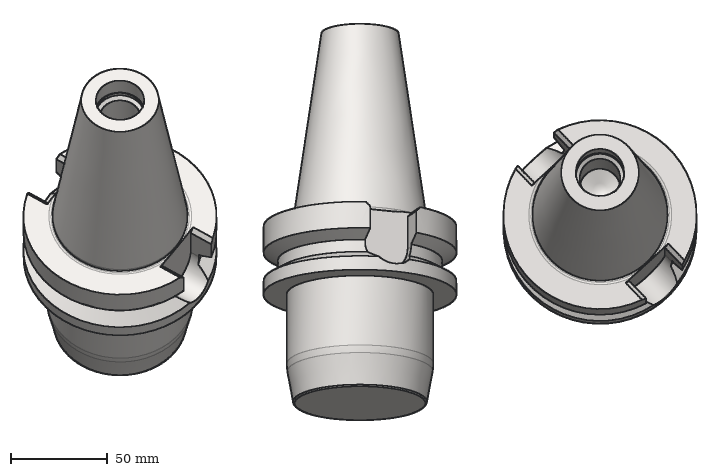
import cadquery as cq
import math

total_height = 197.8
gauge_plane = 96.0

taper_large_diameter = 69.8
taper_ratio = 7 / 24
taper_length = total_height - gauge_plane
taper_small_diameter = taper_large_diameter - taper_ratio * taper_length

flange_diameter = 99.9
flange_bottom = 58.2
flange_top = 94.5
groove_diameter = 85
groove_lower_edge = 65.5
groove_upper_edge = 80.5
groove_side_angle = 30
groove_side_rise = (flange_diameter - groove_diameter) / 2 * math.tan(math.radians(groove_side_angle))

relief_outer_diameter = 73.8
relief_floor_diameter = 71.5
relief_depth = 0.2

body_diameter = 76.0
nose_diameter = 69.2
nose_chamfer = 0.8
nose_blend_top = 21.2
nose_blend_radius = 20.8
nose_angle = math.radians(11)

slot_width = 25.5
slot_bottom = 62.3
slot_floor_x = 35.5
slot_mouth_chamfer = 2.4

counterbore_diameter = 25.0
counterbore_depth = 13.6
undercut_diameter = 25.5
undercut_start_depth = 11.0
seat_slope = math.radians(30)
bore_diameter = 21.0
bore_depth = 39.5
drill_tip_angle = 140


def make_body():
    """Revolved outside shape of taper, flange and body."""
    body_radius = body_diameter / 2
    flange_radius = flange_diameter / 2
    groove_radius = groove_diameter / 2
    neck_radius = taper_large_diameter / 2
    nose_radius = nose_diameter / 2
    arc_center_r = body_radius - nose_blend_radius

    def blend_point(angle):
        return (
            arc_center_r + nose_blend_radius * math.cos(angle),
            nose_blend_top - nose_blend_radius * math.sin(angle),
        )

    profile = (
        cq.Workplane("XZ")
        .lineTo(nose_radius - nose_chamfer, 0)
        .lineTo(nose_radius, nose_chamfer)
        .lineTo(*blend_point(nose_angle))
        .threePointArc(blend_point(nose_angle / 2), blend_point(0))
        .lineTo(body_radius, flange_bottom)
        .lineTo(flange_radius, flange_bottom)
        .lineTo(flange_radius, groove_lower_edge)
        .lineTo(groove_radius, groove_lower_edge + groove_side_rise)
        .lineTo(groove_radius, groove_upper_edge - groove_side_rise)
        .lineTo(flange_radius, groove_upper_edge)
        .lineTo(flange_radius, flange_top)
        .lineTo(relief_outer_diameter / 2, flange_top)
        .lineTo(relief_floor_diameter / 2, flange_top - relief_depth)
        .lineTo(neck_radius, flange_top - relief_depth)
        .lineTo(neck_radius, gauge_plane)
        .lineTo(taper_small_diameter / 2, total_height)
        .lineTo(0, total_height)
        .close()
    )
    return profile.revolve(360, (0, 0, 0), (0, 1, 0))


def make_drive_slot(side):
    """Round-bottomed slot cutter on the +X (side=1) or -X (side=-1) flank."""
    half_width = slot_width / 2
    mouth_half_width = half_width + slot_mouth_chamfer
    return (
        cq.Workplane("YZ", origin=(side * slot_floor_x, 0, 0))
        .moveTo(-mouth_half_width, flange_top)
        .lineTo(-half_width, flange_top - slot_mouth_chamfer)
        .lineTo(-half_width, slot_bottom + half_width)
        .threePointArc((0, slot_bottom), (half_width, slot_bottom + half_width))
        .lineTo(half_width, flange_top - slot_mouth_chamfer)
        .lineTo(mouth_half_width, flange_top)
        .close()
        .extrude(side * flange_diameter / 2)
    )


def make_bore():
    """Revolved cutter for the undercut counterbore, its conical seat and the drilled hole."""
    counterbore_floor = total_height - counterbore_depth
    undercut_top = total_height - undercut_start_depth
    seat_drop = (undercut_diameter - bore_diameter) / 2 * math.tan(seat_slope)
    bore_floor = total_height - bore_depth
    bore_radius = bore_diameter / 2
    tip_length = bore_radius / math.tan(math.radians(drill_tip_angle / 2))
    return (
        cq.Workplane("XZ")
        .moveTo(0, total_height)
        .lineTo(counterbore_diameter / 2, total_height)
        .lineTo(counterbore_diameter / 2, undercut_top)
        .lineTo(undercut_diameter / 2, undercut_top)
        .lineTo(undercut_diameter / 2, counterbore_floor)
        .lineTo(bore_radius, counterbore_floor - seat_drop)
        .lineTo(bore_radius, bore_floor)
        .lineTo(0, bore_floor - tip_length)
        .close()
        .revolve(360, (0, 0, 0), (0, 1, 0))
    )


result = make_body().cut(make_bore())
for slot_side in (-1, 1):
    result = result.cut(make_drive_slot(slot_side))